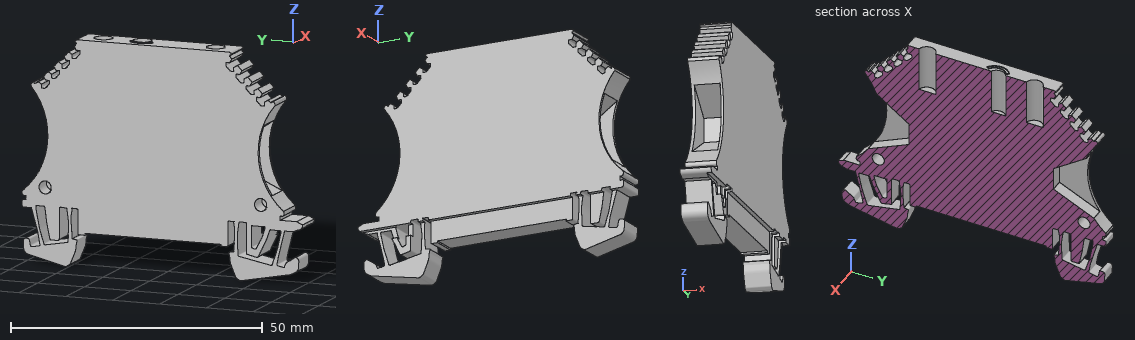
import cadquery as cq
import math


FRONT = -1
REAR = 1
ENDS = (FRONT, REAR)

THICKNESS = 6.5
LOWER_THICKNESS = 5.5
HEIGHT = 39.2
LOWER_STEP_Z = 4.34
LOWEST_Z = -8.0

BOSS_TOP_Z = 1.76
BOSS_BOTTOM_Z = -2.25
BOSS_INNER_Y = 19.5
BOSS_OUTER_Y = 24.6

SHOULDER_Y = 28.0
SHOULDER_Z = 7.7
HORN_Y = 26.05
HORN_TOP_Z = 29.87
HORN_RADIUS = 0.5
PLATE_BOTTOM_Y = 16.02
NUB_Y = 14.47
NUB_DROP = 0.36
SLOT_TOP_Z = 4.9
SLOT_RADIUS = 0.25
PLATE_LIP_Y = 27.2
PLATE_LIP_TOP_Z = 5.9
PLATE_LIP_NOTCH_Z = 6.7
REAR_LIP_Y = 28.0
FRONT_LIP_Y = 32.0
FRONT_LIP_BOTTOM_Z = 3.8
FRONT_LIP_NOSE_Z = 4.5
FRONT_LIP_FLAT_Y = 30.1
LIP_ROOT_Y = 25.0

INNER_LEG_ROOT_INNER_Y = 17.2
INNER_LEG_ROOT_OUTER_Y = 18.4
LEG_BEND_RADIUS = 8.0
POST_INNER_Y = 20.0
POST_WINDOW_Y = 21.1
REAR_LEG_ROOT_Y = 26.0
FRONT_LEG_ROOT_Y = 28.15

HOLLOW_RADIUS = 15.0
HOLLOW_Y = 37.48
HOLLOW_Z = 19.3

GROOVE_COUNT = 4
GROOVE_STEP = 2.18
FIRST_GROOVE_Y = 16.08
FIRST_GROOVE_Z = 35.85
TOOTH_HEIGHT = 1.95
TOOTH_GAP_HALF = 0.84
MOUTH_HALF = 0.63
MOUTH_HEIGHT = 1.06
UNDERCUT_HALF = 1.18
UNDERCUT_HEIGHT = 0.48
FLOOR_HALF = 0.7
GROOVE_RADIUS = 0.15

POCKET_X = 0.72
POCKET_WIDTH = 5.28
POCKET_BACK_Y = 16.2
POCKET_MOUTH_TOP_Y = 23.5
POCKET_MOUTH_BOTTOM_Y = 25.25
POCKET_MOUTH_TOP_Z = 24.74
POCKET_MOUTH_BOTTOM_Z = 10.62
POCKET_BACK_TOP_Z = 19.72
POCKET_BACK_BOTTOM_Z = 14.75

TOP_HOLE_DIAMETER = 3.75
TOP_HOLE_DEPTH = 10.0
SCREW_HOLE_X = 3.65
SCREW_HOLE_Y = 12.0
TEST_HOLE_X = 4.25
TEST_HOLE_Y = 3.9
SIDE_HOLE_DIAMETER = 2.6
SIDE_HOLE_DEPTH = 4.0
SIDE_HOLE_Y = 23.02
SIDE_HOLE_Z = 8.7

DIAL_HEIGHT = 0.15
DIAL_Y = TEST_HOLE_Y - 0.44
DIAL_INNER_RADIUS = 2.4
DIAL_OUTER_RADIUS = 3.0
DIAL_HALF_ANGLE = math.radians(56)


def plate(outline, end, thickness=THICKNESS, x_start=0.0):
    """Extrude a closed outline with rounded corners at the chosen end of the block."""
    corners = [cq.Vector(end * y, z) for y, z, _ in outline]
    following = corners[1:] + corners[:1]
    sketch = cq.Workplane("YZ", origin=(x_start, 0, 0))
    for i, corner in enumerate(corners):
        radius = outline[i][2]
        draw_to = sketch.moveTo if i == 0 else sketch.lineTo
        if radius == 0:
            sketch = draw_to(corner.x, corner.y)
            continue
        to_before = (corners[i - 1] - corner).normalized()
        to_after = (following[i] - corner).normalized()
        half_angle = to_before.getAngle(to_after) / 2
        setback = radius / math.tan(half_angle)
        start = corner + to_before * setback
        finish = corner + to_after * setback
        bisector = (to_before + to_after).normalized()
        middle = corner + bisector * (radius / math.sin(half_angle) - radius)
        sketch = draw_to(start.x, start.y)
        sketch = sketch.threePointArc((middle.x, middle.y), (finish.x, finish.y))
    return sketch.close().extrude(thickness)


def shoulder_point(groove_index, along, out):
    """Place measured down and out from a groove floor centre on the 45 degree shoulder."""
    y = FIRST_GROOVE_Y + groove_index * GROOVE_STEP + (along + out) / math.sqrt(2)
    z = FIRST_GROOVE_Z - groove_index * GROOVE_STEP + (out - along) / math.sqrt(2)
    return y, z


def half_housing(end, lip):
    """Half of the housing plate, from the middle out to the lip of one end."""
    first_tooth_y, first_tooth_z = shoulder_point(0, -TOOTH_GAP_HALF, TOOTH_HEIGHT)
    last_tooth_y, last_tooth_z = shoulder_point(GROOVE_COUNT - 1, TOOTH_GAP_HALF, TOOTH_HEIGHT)
    outline = [
        (0, 0, 0),
        (0, HEIGHT, 0),
        (16.57, HEIGHT, 0.5),
        (16.76, 38.8, 0),
        (16.36, 38.45, 0),
        (first_tooth_y, first_tooth_z, 0),
        (last_tooth_y, last_tooth_z, 0),
        (25.23, 29.6, 0),
        (25.5, HORN_TOP_Z, 0),
        (HORN_Y, HORN_TOP_Z, HORN_RADIUS),
        (HORN_Y, SHOULDER_Z + SHOULDER_Y - HORN_Y, 0),
        (SHOULDER_Y, SHOULDER_Z, 0.8),
        (SHOULDER_Y, PLATE_LIP_NOTCH_Z, 0.5),
        (PLATE_LIP_Y, PLATE_LIP_NOTCH_Z, 0),
        (PLATE_LIP_Y, PLATE_LIP_TOP_Z, 0),
    ]
    foot_top = [
        (PLATE_BOTTOM_Y, SLOT_TOP_Z, SLOT_RADIUS),
        (PLATE_BOTTOM_Y, -NUB_DROP, 0.3),
        (NUB_Y, -NUB_DROP, 0),
        (NUB_Y, 0, 0),
    ]
    return plate(outline + lip + foot_top, end)


def rear_half():
    """Rear half of the housing, with the short lip."""
    lip = [
        (REAR_LIP_Y, PLATE_LIP_TOP_Z, 0.25),
        (REAR_LIP_Y, LOWER_STEP_Z, 0.4),
        (LIP_ROOT_Y, LOWER_STEP_Z, 0),
        (LIP_ROOT_Y, SLOT_TOP_Z, 0),
    ]
    return half_housing(REAR, lip)


def front_half():
    """Front half of the housing, with the long release lip."""
    lip = [
        (FRONT_LIP_Y, PLATE_LIP_TOP_Z, 0.65),
        (FRONT_LIP_Y, FRONT_LIP_NOSE_Z, 1.0),
        (FRONT_LIP_FLAT_Y, FRONT_LIP_BOTTOM_Z, 0),
        (LIP_ROOT_Y, FRONT_LIP_BOTTOM_Z, 0),
        (LIP_ROOT_Y, SLOT_TOP_Z, 0),
    ]
    return half_housing(FRONT, lip)


def inner_leg_and_heel(toe):
    """Foot outline points from the inner leg root, down the leg and round the heel, to the toe."""
    leg = [
        (INNER_LEG_ROOT_OUTER_Y, SLOT_TOP_Z, 0),
        (INNER_LEG_ROOT_INNER_Y, SLOT_TOP_Z, 0.15),
        (17.55, 3.2, LEG_BEND_RADIUS),
        (17.22, -1.25, 0),
        (16.15, -1.45, 0.15),
        (16.35, -2.2, 0),
        (16.5, -3.6, 2.0),
        (17.7, -6.5, 0.5),
        (18.6, -7.09, 0.6),
    ]
    return leg + toe


def rear_foot():
    """Rear foot, its window leaving a solid post between the legs."""
    toe = [
        (27.6, -4.94, 1.3),
        (27.75, -1.9, 0.6),
        (26.45, -1.9, 0.4),
        (26.1, -3.6, 0.4),
        (24.1, -3.2, 0.25),
        (24.5, -0.93, 4.0),
        (REAR_LEG_ROOT_Y, LOWER_STEP_Z, 0),
        (REAR_LEG_ROOT_Y, SLOT_TOP_Z, 0),
    ]
    window = [
        (INNER_LEG_ROOT_OUTER_Y, SLOT_TOP_Z, SLOT_RADIUS),
        (18.0, 2.0, LEG_BEND_RADIUS),
        (18.15, -2.05, 0.3),
        (23.2, -2.98, 0.3),
        (24.2, 0.2, 6.0),
        (25.1, SLOT_TOP_Z, SLOT_RADIUS),
        (23.1, SLOT_TOP_Z, 0.35),
        (22.65, 1.45, 0),
        (21.95, -1.87, 0.3),
        (POST_INNER_Y, -1.83, 0.35),
        (POST_INNER_Y, SLOT_TOP_Z, SLOT_RADIUS),
    ]
    return plate(inner_leg_and_heel(toe), REAR).cut(plate(window, REAR))


def front_foot():
    """Front foot, whose post has its own window."""
    toe = [
        (29.4, -5.0, 1.5),
        (31.1, -4.2, 1.5),
        (31.2, -1.5, 0.8),
        (30.4, -1.35, 0.2),
        (28.5, -2.6, 0.5),
        (28.0, -3.65, 0.1),
        (26.45, -3.3, 0.3),
        (26.8, -1.6, 4.0),
        (FRONT_LEG_ROOT_Y, FRONT_LIP_BOTTOM_Z, 0),
        (FRONT_LEG_ROOT_Y, SLOT_TOP_Z, 0),
    ]
    window = [
        (INNER_LEG_ROOT_OUTER_Y, SLOT_TOP_Z, SLOT_RADIUS),
        (18.0, 2.0, LEG_BEND_RADIUS),
        (18.2, -2.05, 0.3),
        (25.42, -3.43, 0.3),
        (26.6, 0.2, 6.0),
        (27.4, FRONT_LIP_BOTTOM_Z, 0.25),
        (LIP_ROOT_Y, FRONT_LIP_BOTTOM_Z, 0),
        (24.3, 1.8, 3.0),
        (22.4, -2.07, 0.4),
        (POST_INNER_Y, -1.5, 0.3),
        (POST_INNER_Y, SLOT_TOP_Z, SLOT_RADIUS),
    ]
    post_window = [
        (POST_WINDOW_Y, LOWER_STEP_Z, 0),
        (23.98, LOWER_STEP_Z, 0.15),
        (23.4, 2.25, 3.0),
        (21.95, -0.45, 0.4),
        (POST_WINDOW_Y, -0.1, 0.2),
    ]
    foot = plate(inner_leg_and_heel(toe), FRONT)
    return foot.cut(plate(window, FRONT)).cut(plate(post_window, FRONT))


def marker_groove(index, end):
    """One undercut groove, set square to the 45 degree shoulder."""
    local = [
        (-TOOTH_GAP_HALF, TOOTH_HEIGHT, 0),
        (-MOUTH_HALF, MOUTH_HEIGHT, 0),
        (-UNDERCUT_HALF, UNDERCUT_HEIGHT, GROOVE_RADIUS),
        (-FLOOR_HALF, 0, GROOVE_RADIUS),
        (FLOOR_HALF, 0, GROOVE_RADIUS),
        (UNDERCUT_HALF, UNDERCUT_HEIGHT, GROOVE_RADIUS),
        (MOUTH_HALF, MOUTH_HEIGHT, 0),
        (TOOTH_GAP_HALF, TOOTH_HEIGHT, 0),
    ]
    outline = [(*shoulder_point(index, along, out), radius) for along, out, radius in local]
    return plate(outline, end)


def finger_hollow(end):
    """Cylinder across the full thickness that scoops out one end."""
    centre = cq.Workplane("YZ").center(end * HOLLOW_Y, HOLLOW_Z)
    return centre.circle(HOLLOW_RADIUS).extrude(THICKNESS)


def wire_pocket(end):
    """Tapered pocket that opens into the finger hollow."""
    floor_slope = (POCKET_BACK_BOTTOM_Z - POCKET_MOUTH_BOTTOM_Z) / (POCKET_MOUTH_BOTTOM_Y - POCKET_BACK_Y)
    roof_slope = (POCKET_MOUTH_TOP_Z - POCKET_BACK_TOP_Z) / (POCKET_MOUTH_TOP_Y - POCKET_BACK_Y)
    reach = HORN_Y - POCKET_BACK_Y
    outline = [
        (POCKET_BACK_Y, POCKET_BACK_BOTTOM_Z, 0),
        (POCKET_BACK_Y, POCKET_BACK_TOP_Z, 0),
        (HORN_Y, POCKET_BACK_TOP_Z + reach * roof_slope, 0),
        (HORN_Y, POCKET_BACK_BOTTOM_Z - reach * floor_slope, 0),
    ]
    return plate(outline, end, POCKET_WIDTH, POCKET_X)


def top_hole(x, y):
    """Blind hole down from the top face."""
    top = cq.Workplane("XY", origin=(x, y, HEIGHT))
    return top.circle(TOP_HOLE_DIAMETER / 2).extrude(-TOP_HOLE_DEPTH)


def side_hole(end):
    """Blind hole in the -X face."""
    side = cq.Workplane("YZ").center(end * SIDE_HOLE_Y, SIDE_HOLE_Z)
    return side.circle(SIDE_HOLE_DIAMETER / 2).extrude(SIDE_HOLE_DEPTH)


def slab(x_range, y_range, z_range):
    """Plain box between pairs of limits."""
    size = [limits[1] - limits[0] for limits in (x_range, y_range, z_range)]
    corner = (x_range[0], y_range[0], z_range[0])
    return cq.Workplane("XY").box(*size, centered=False).translate(corner)


def lower_step():
    """Layer removed from the +X face below the step, all but the boss on the front post."""
    layer = (LOWER_THICKNESS, THICKNESS)
    step = slab(layer, (-FRONT_LIP_Y, FRONT_LIP_Y), (LOWEST_Z, LOWER_STEP_Z))
    boss = slab(layer, (-BOSS_OUTER_Y, -BOSS_INNER_Y), (BOSS_BOTTOM_Z, BOSS_TOP_Z))
    return step.cut(boss)


def dial_mark():
    """Thin raised arc on the top face, on the -X side of the test hole."""
    def polar(radius, angle):
        return (TEST_HOLE_X - radius * math.cos(angle), DIAL_Y + radius * math.sin(angle))

    mark = cq.Workplane("XY", origin=(0, 0, HEIGHT))
    mark = mark.moveTo(*polar(DIAL_INNER_RADIUS, -DIAL_HALF_ANGLE))
    mark = mark.threePointArc(polar(DIAL_INNER_RADIUS, 0), polar(DIAL_INNER_RADIUS, DIAL_HALF_ANGLE))
    mark = mark.lineTo(*polar(DIAL_OUTER_RADIUS, DIAL_HALF_ANGLE))
    mark = mark.threePointArc(polar(DIAL_OUTER_RADIUS, 0), polar(DIAL_OUTER_RADIUS, -DIAL_HALF_ANGLE))
    return mark.close().extrude(DIAL_HEIGHT)


body = rear_half().union(front_half()).union(rear_foot()).union(front_foot())
for end in ENDS:
    for index in range(GROOVE_COUNT):
        body = body.cut(marker_groove(index, end))
    body = body.cut(finger_hollow(end))
    body = body.cut(wire_pocket(end))
    body = body.cut(side_hole(end))
    body = body.cut(top_hole(SCREW_HOLE_X, end * SCREW_HOLE_Y))
body = body.cut(top_hole(TEST_HOLE_X, TEST_HOLE_Y))
body = body.cut(lower_step())

result = body.union(dial_mark())